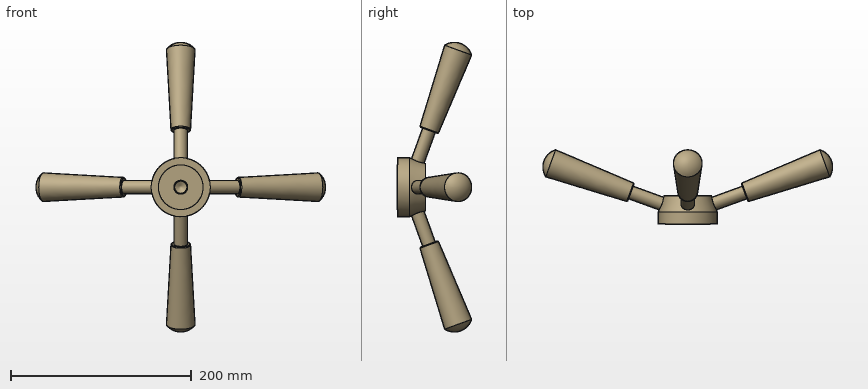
import cadquery as cq
import math

HUB_DIAMETER = 65.44
HUB_DEPTH = 32.0
RIM_BACK = 14.0
PAD_DIAMETER = 49.45
PAD_HEIGHT = 1.0

BORE_DIAMETER = 13.45
BORE_MOUTH_DIAMETER = 15.45
BORE_DEPTH = 20.0
DRILL_POINT_ANGLE = 118.0

SPOKE_COUNT = 4
SPOKE_TILT = 20.0
SPOKE_DIAMETER = 15.0
SPOKE_ORIGIN_DEPTH = 12.7

GRIP_LENGTH = 102.5
GRIP_TIP = 169.35
GRIP_SMALL_DIAMETER = 22.0
GRIP_LARGE_DIAMETER = 32.0
GRIP_DOME_HEIGHT = 8.0
GRIP_CHAMFER = 1.0

HUB_RADIUS = HUB_DIAMETER / 2
PAD_RADIUS = PAD_DIAMETER / 2
BORE_RADIUS = BORE_DIAMETER / 2
BORE_MOUTH_RADIUS = BORE_MOUTH_DIAMETER / 2
BORE_CHAMFER = BORE_MOUTH_RADIUS - BORE_RADIUS
DRILL_POINT_DEPTH = BORE_RADIUS / math.tan(math.radians(DRILL_POINT_ANGLE / 2))
HUB_BACK_RADIUS = HUB_RADIUS - (HUB_DEPTH - RIM_BACK) * math.tan(math.radians(SPOKE_TILT))


def revolve_about_y(outline):
    """Turn a closed XY outline a full revolution about the Y axis."""
    return outline.close().revolve(360, (0, 0, 0), (0, 1, 0))


def make_hub():
    """Cylindrical rim with a raised front pad and a conical rear."""
    outline = (
        cq.Workplane("XY")
        .moveTo(0, 0)
        .lineTo(PAD_RADIUS, 0)
        .lineTo(PAD_RADIUS, PAD_HEIGHT)
        .lineTo(HUB_RADIUS, PAD_HEIGHT)
        .lineTo(HUB_RADIUS, RIM_BACK)
        .lineTo(HUB_BACK_RADIUS, HUB_DEPTH)
        .lineTo(0, HUB_DEPTH)
    )
    return revolve_about_y(outline)


def make_bore():
    """Blind drilled hole with a chamfered mouth and a conical bottom."""
    outline = (
        cq.Workplane("XY")
        .moveTo(0, 0)
        .lineTo(BORE_MOUTH_RADIUS, 0)
        .lineTo(BORE_RADIUS, BORE_CHAMFER)
        .lineTo(BORE_RADIUS, BORE_DEPTH)
        .lineTo(0, BORE_DEPTH + DRILL_POINT_DEPTH)
    )
    return revolve_about_y(outline)


def make_upright_arm():
    """Spoke and grip standing along +Y from the origin, before tilting."""
    spoke_radius = SPOKE_DIAMETER / 2
    small_radius = GRIP_SMALL_DIAMETER / 2
    large_radius = GRIP_LARGE_DIAMETER / 2
    grip_start = GRIP_TIP - GRIP_LENGTH
    dome_start = GRIP_TIP - GRIP_DOME_HEIGHT

    dome_radius = (large_radius**2 + GRIP_DOME_HEIGHT**2) / (2 * GRIP_DOME_HEIGHT)
    dome_centre = GRIP_TIP - dome_radius
    half_angle = math.asin(large_radius / dome_radius) / 2
    dome_mid = (
        dome_radius * math.sin(half_angle),
        dome_centre + dome_radius * math.cos(half_angle),
    )

    outline = (
        cq.Workplane("XY")
        .moveTo(0, 0)
        .lineTo(spoke_radius, 0)
        .lineTo(spoke_radius, grip_start)
        .lineTo(small_radius - GRIP_CHAMFER, grip_start)
        .lineTo(small_radius, grip_start + GRIP_CHAMFER)
        .lineTo(large_radius, dome_start)
        .threePointArc(dome_mid, (0, GRIP_TIP))
    )
    return revolve_about_y(outline)


def add_arms(body):
    """Join the spokes evenly around the hub, all leaning toward the rear."""
    arm = make_upright_arm().rotate((0, 0, 0), (0, 0, 1), SPOKE_TILT - 90)
    arm = arm.translate((0, SPOKE_ORIGIN_DEPTH, 0))
    for index in range(SPOKE_COUNT):
        body = body.union(arm.rotate((0, 0, 0), (0, 1, 0), index * 360 / SPOKE_COUNT))
    return body


result = add_arms(make_hub()).cut(make_bore())